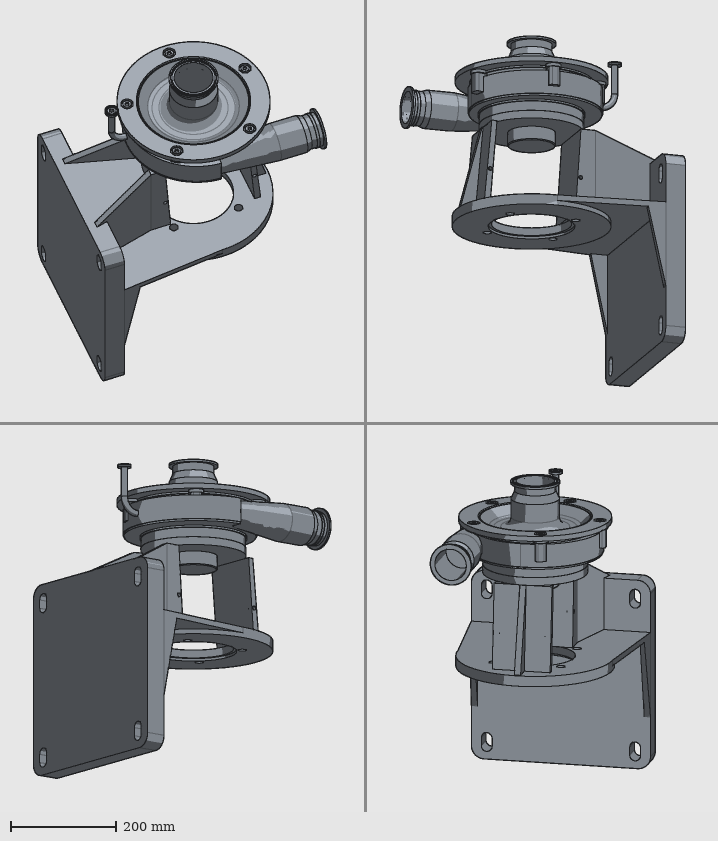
import cadquery as cq
import math


plate_width = 350.0
plate_height = 372.0
plate_thickness = 40.0
plate_front_y = -249.5
plate_back_y = plate_front_y + plate_thickness
plate_corner_radius = 25.0
slot_length = 37.0
slot_width = 21.0
slot_spacing_x = 290.0
slot_spacing_z = 301.0
slot_mid_z = 184.5

shelf_top_z = 270.5
shelf_thickness = 11.0
ring_thickness = 20.0
ring_radius = 151.0
shelf_bore_radius = 76.0
motor_recess_radius = 82.5
motor_recess_depth = 5.0
motor_bolt_count = 4
motor_bolt_start_angle = 45
motor_bolt_circle_radius = 93.5
motor_bolt_hole_radius = 8.0

gusset_reach = 34.0
gusset_bottom_z = 104.0
rib_thickness = 12.0

lantern_top_z = 435.5
lantern_half_width = 56.5
lantern_height = lantern_top_z - shelf_top_z
column_front_y = -109.0
column_inner_top_y = -80.0
column_inner_bottom_y = -69.0
rear_wall_inner_top_y = 89.0
rear_wall_inner_bottom_y = 102.5
rear_wall_outer_top_y = 99.5
rear_wall_outer_bottom_y = 115.0
rear_rib_top_y = 101.5
rear_rib_bottom_y = 145.5
pin_hole_radius = 3.5
pin_hole_depth = 12.0
pin_hole_z = 339.0
front_pin_y = -79.0
rear_pin_y = 102.5

front_rib_angle = 15.5
front_rib_x = 56.5
front_rib_y = -134.0
front_rib_end_y = -232.0

hub_radius = 99.5
hub_collar_radius = 102.0
hub_collar_bottom_z = 469.5
lantern_flange_radius = 100.0
lantern_flange_top_z = 451.0
shaft_boss_radius = 45.5
shaft_boss_bottom_z = 409.0
shaft_boss_chamfer = 2.0

casing_bottom_z = 473.0
casing_top_z = 523.0
casing_mid_z = (casing_bottom_z + casing_top_z) / 2
volute_start_radius = 121.0
volute_end_radius = 145.5
volute_start_angle = math.radians(90)
volute_sweep = math.radians(270)
spiral_steps = 12
casing_foot_inset = 2.0
casing_foot_top_z = 477.0

cover_radius = 145.5
cover_bottom_z = 535.0
cover_top_z = 545.0
cover_spigot_radius = 115.0
cover_lip_radius = 118.0
cover_lip_bottom_z = 531.5
dish_rim_radius = 107.0
dish_rim_chamfer = 2.0
dish_foot_radius = 83.5
dish_floor_z = 524.0
dish_foot_fillet = 12.0
neck_root_fillet = 19.5
inlet_radius = 46.0
inlet_throat_radius = 39.5
inlet_flange_radius = 47.0
inlet_flange_thickness = 4.0
inlet_shoulder_z = 580.0
inlet_throat_z = 595.5
inlet_top_z = 614.5
inlet_groove_radius = 41.0
inlet_bore_radius = 37.0
inlet_bore_bottom_z = 485.5

screw_count = 5
first_screw_angle = 180
screw_circle_radius = 126.5
lug_width = 21.0
lug_outer_radius = 138.0
lug_inner_radius = 104.5
lug_bottom_z = 493.0
lug_corner_radius = 5.0
lug_seat_radius = 15.0
lug_seat_bottom_z = 529.0
counterbore_radius = 11.5
screw_head_radius = 8.0
counterbore_depth = 6.0
socket_width = 8.0
socket_depth = 3.5

outlet_x = 115.0
outlet_end_y = 211.5
outlet_radius = 37.0
outlet_throat_radius = 33.0
outlet_flange_radius = 40.0
outlet_flange_thickness = 3.5
outlet_throat_y = 184.5
outlet_shoulder_y = 174.0
outlet_taper_y = 120.0
outlet_root_x = 119.0
outlet_root_radius = 24.5
outlet_bead_radius = 34.5
outlet_bead_start_y = 195.0
outlet_bead_end_y = 200.5
outlet_bore_radius = 31.0

drain_radius = 6.0
drain_bore_radius = 4.0
drain_bend_radius = 29.0
drain_z = 499.5
drain_inner_y = -129.0
drain_riser_y = -167.0
drain_top_z = 590.0
drain_flange_radius = 13.0
drain_flange_thickness = 5.0
drain_groove_radius = 8.5

groove_width = 2.5
groove_depth = 1.0


def disc(radius, bottom_z, top_z):
    return cq.Workplane("XY").workplane(offset=bottom_z).circle(radius).extrude(top_z - bottom_z)


def gasket_groove(radius, top_z):
    """Shallow ring sunk into a flange face at top_z, starting at the given inner radius."""
    floor_z = top_z - groove_depth
    return disc(radius + groove_width, floor_z, top_z).cut(disc(radius, floor_z, top_z))


def side_profile(points, half_width, mid_x=0.0):
    """Extrude a closed (y, z) outline evenly to both sides of the plane x = mid_x."""
    return cq.Workplane("YZ", origin=(mid_x, 0, 0)).polyline(points).close().extrude(half_width, both=True)


def wall_plate():
    plate = (
        cq.Workplane("XY")
        .box(plate_width, plate_thickness, plate_height, centered=(True, False, False))
        .translate((0, plate_front_y, 0))
        .edges("|Y")
        .fillet(plate_corner_radius)
    )
    slots = (
        cq.Workplane("XZ", origin=(0, plate_back_y, slot_mid_z))
        .rarray(slot_spacing_x, slot_spacing_z, 2, 2)
        .slot2D(slot_length, slot_width, 90)
        .extrude(plate_thickness)
    )
    return plate.cut(slots)


def shelf_outline():
    """Plan of the shelf: a half round end that widens toward the wall plate."""
    return (
        cq.Workplane("XY")
        .moveTo(ring_radius, 0)
        .threePointArc((0, ring_radius), (-ring_radius, 0))
        .lineTo(-plate_width / 2, plate_back_y)
        .lineTo(plate_width / 2, plate_back_y)
        .close()
    )


def shelf():
    ring_bottom_z = shelf_top_z - ring_thickness
    plate = shelf_outline().extrude(shelf_thickness).translate((0, 0, shelf_top_z - shelf_thickness))
    body = plate.union(disc(ring_radius, ring_bottom_z, shelf_top_z))
    body = body.cut(disc(shelf_bore_radius, ring_bottom_z, shelf_top_z))
    body = body.cut(disc(motor_recess_radius, ring_bottom_z, ring_bottom_z + motor_recess_depth))
    bolt_holes = (
        cq.Workplane("XY", origin=(0, 0, ring_bottom_z))
        .polarArray(motor_bolt_circle_radius, motor_bolt_start_angle, 360, motor_bolt_count)
        .circle(motor_bolt_hole_radius)
        .extrude(ring_thickness)
    )
    return body.cut(bolt_holes)


def lower_gussets():
    """Triangular webs under both edges of the shelf, trimmed to the shelf outline."""
    top_z = shelf_top_z - shelf_thickness
    points = [(plate_back_y, gusset_bottom_z), (plate_back_y, top_z), (plate_back_y + gusset_reach, top_z)]
    mid_x = (plate_width - rib_thickness) / 2
    web = side_profile(points, rib_thickness / 2, mid_x)
    gusset = web.intersect(shelf_outline().extrude(shelf_top_z))
    return gusset.union(gusset.mirror("YZ"))


def lantern():
    column = side_profile(
        [
            (column_front_y, shelf_top_z),
            (column_inner_bottom_y, shelf_top_z),
            (column_inner_top_y, lantern_top_z),
            (column_front_y, lantern_top_z),
        ],
        lantern_half_width,
    )
    column = column.intersect(disc(lantern_flange_radius, shelf_top_z, lantern_top_z))

    rear_wall = side_profile(
        [
            (rear_wall_inner_bottom_y, shelf_top_z),
            (rear_wall_outer_bottom_y, shelf_top_z),
            (rear_wall_outer_top_y, lantern_top_z),
            (rear_wall_inner_top_y, lantern_top_z),
        ],
        lantern_half_width,
    )
    rear_rib = side_profile(
        [
            (rear_wall_inner_bottom_y, shelf_top_z),
            (rear_rib_bottom_y, shelf_top_z),
            (rear_rib_top_y, lantern_top_z),
            (rear_wall_inner_top_y, lantern_top_z),
        ],
        rib_thickness / 2,
    )
    body = column.union(front_ribs()).union(rib_filler()).union(rear_wall).union(rear_rib)
    for pin_y in (front_pin_y, rear_pin_y):
        pin_hole = cq.Workplane("YZ", origin=(-lantern_half_width, pin_y, pin_hole_z))
        pin_hole = pin_hole.circle(pin_hole_radius).extrude(pin_hole_depth)
        body = body.cut(pin_hole).cut(pin_hole.mirror("YZ"))
    return body


def rib_x(y):
    """Distance from the mid plane to the middle of a front rib, at a given y."""
    return front_rib_x + (front_rib_y - y) * math.tan(math.radians(front_rib_angle))


def rib_filler():
    """Block between the front ribs, level with the top of the wall plate."""
    near_x = rib_x(column_inner_top_y)
    far_x = rib_x(plate_back_y)
    return (
        cq.Workplane("XY", origin=(0, 0, shelf_top_z))
        .moveTo(near_x, column_inner_top_y)
        .lineTo(far_x, plate_back_y)
        .lineTo(-far_x, plate_back_y)
        .lineTo(-near_x, column_inner_top_y)
        .close()
        .extrude(plate_height - shelf_top_z)
    )


def front_ribs():
    """Two ribs that spread from the lantern column and slope down onto the wall plate."""
    half_thickness_x = rib_thickness / 2 / math.cos(math.radians(front_rib_angle))
    side = side_profile(
        [
            (column_inner_top_y, shelf_top_z),
            (plate_back_y, shelf_top_z),
            (plate_back_y, plate_height),
            (front_rib_end_y, plate_height),
            (column_front_y, lantern_top_z),
            (column_inner_top_y, lantern_top_z),
        ],
        plate_width / 2,
    )
    plan = (
        cq.Workplane("XY", origin=(0, 0, shelf_top_z))
        .moveTo(rib_x(front_rib_end_y) - half_thickness_x, front_rib_end_y)
        .lineTo(rib_x(front_rib_end_y) + half_thickness_x, front_rib_end_y)
        .lineTo(lantern_half_width, column_front_y)
        .lineTo(lantern_half_width, column_inner_top_y)
        .lineTo(rib_x(column_inner_top_y) - half_thickness_x, column_inner_top_y)
        .close()
        .extrude(lantern_height)
    )
    rib = plan.intersect(side)
    return rib.union(rib.mirror("YZ"))


def hub():
    boss = disc(shaft_boss_radius, shaft_boss_bottom_z, casing_bottom_z)
    boss = boss.faces("<Z").edges().chamfer(shaft_boss_chamfer)
    lantern_flange = disc(lantern_flange_radius, lantern_top_z, lantern_flange_top_z)
    neck = disc(hub_radius, lantern_flange_top_z, hub_collar_bottom_z)
    collar = disc(hub_collar_radius, hub_collar_bottom_z, casing_bottom_z)
    return boss.union(lantern_flange).union(neck).union(collar)


def volute_layer(inset, bottom_z, top_z):
    """Slab whose radius grows evenly over three quarters of a turn, from +Y round to +X."""
    start_radius = volute_start_radius - inset
    end_radius = volute_end_radius - inset

    def spiral(t):
        angle = volute_start_angle + t * volute_sweep
        radius = start_radius + t * (end_radius - start_radius)
        return (radius * math.cos(angle), radius * math.sin(angle))

    diagonal = start_radius * math.sqrt(0.5)
    return (
        cq.Workplane("XY", origin=(0, 0, bottom_z))
        .spline([spiral(step / spiral_steps) for step in range(spiral_steps + 1)])
        .lineTo(start_radius, 0)
        .threePointArc((diagonal, diagonal), (0, start_radius))
        .close()
        .extrude(top_z - bottom_z)
    )


def volute():
    """Spiral casing on a slightly smaller foot."""
    foot = volute_layer(casing_foot_inset, casing_bottom_z, casing_foot_top_z)
    return foot.union(volute_layer(0, casing_foot_top_z, casing_top_z))


def outlet():
    taper = (
        cq.Workplane("XZ")
        .center(outlet_root_x, casing_mid_z)
        .circle(outlet_root_radius)
        .workplane(offset=-outlet_taper_y)
        .center(outlet_x - outlet_root_x, 0)
        .circle(outlet_radius)
        .loft()
    )
    pipe = (
        cq.Workplane("XY")
        .moveTo(0, outlet_taper_y)
        .lineTo(outlet_radius, outlet_taper_y)
        .lineTo(outlet_radius, outlet_shoulder_y)
        .lineTo(outlet_throat_radius, outlet_throat_y)
        .lineTo(outlet_throat_radius, outlet_bead_start_y)
        .lineTo(outlet_bead_radius, outlet_bead_start_y)
        .lineTo(outlet_bead_radius, outlet_bead_end_y)
        .lineTo(outlet_throat_radius, outlet_bead_end_y)
        .lineTo(outlet_throat_radius, outlet_end_y - outlet_flange_thickness)
        .lineTo(outlet_flange_radius, outlet_end_y - outlet_flange_thickness)
        .lineTo(outlet_flange_radius, outlet_end_y)
        .lineTo(0, outlet_end_y)
        .close()
        .revolve(360, (0, 0, 0), (0, 1, 0))
        .translate((outlet_x, 0, casing_mid_z))
    )
    return taper.union(pipe)


def outlet_bore():
    return (
        cq.Workplane("XZ", origin=(outlet_x, outlet_end_y, casing_mid_z))
        .circle(outlet_bore_radius)
        .extrude(outlet_end_y - outlet_taper_y)
    )


def cover():
    body = disc(cover_radius, cover_bottom_z, cover_top_z)
    body = body.union(disc(cover_lip_radius, cover_lip_bottom_z, cover_bottom_z))
    body = body.union(disc(cover_spigot_radius, casing_top_z, cover_lip_bottom_z))
    dish = (
        cq.Workplane("XZ")
        .moveTo(0, dish_floor_z)
        .lineTo(dish_foot_radius, dish_floor_z)
        .lineTo(dish_rim_radius, cover_top_z)
        .lineTo(0, cover_top_z)
        .close()
        .revolve(360, (0, 0, 0), (0, 1, 0))
        .faces("<Z")
        .edges()
        .fillet(dish_foot_fillet)
    )
    rim = cq.Solid.makeCone(
        dish_rim_radius,
        dish_rim_radius + dish_rim_chamfer,
        dish_rim_chamfer,
        cq.Vector(0, 0, cover_top_z - dish_rim_chamfer),
    )
    return body.cut(dish).cut(cq.Workplane(rim))


def inlet():
    root_z = dish_floor_z + neck_root_fillet
    root_radius = inlet_radius + neck_root_fillet
    arc_reach = neck_root_fillet * (1 - math.sqrt(0.5))
    return (
        cq.Workplane("XZ")
        .moveTo(0, dish_floor_z)
        .lineTo(root_radius, dish_floor_z)
        .threePointArc((inlet_radius + arc_reach, dish_floor_z + arc_reach), (inlet_radius, root_z))
        .lineTo(inlet_radius, inlet_shoulder_z)
        .lineTo(inlet_throat_radius, inlet_throat_z)
        .lineTo(inlet_throat_radius, inlet_top_z - inlet_flange_thickness)
        .lineTo(inlet_flange_radius, inlet_top_z - inlet_flange_thickness)
        .lineTo(inlet_flange_radius, inlet_top_z)
        .lineTo(0, inlet_top_z)
        .close()
        .revolve(360, (0, 0, 0), (0, 1, 0))
    )


def lug():
    """Screw lug on the +X side, standing out from the casing, with a round seat at its top."""
    length = lug_outer_radius - lug_inner_radius
    seat = disc(lug_seat_radius, lug_seat_bottom_z, cover_bottom_z).translate((screw_circle_radius, 0, 0))
    block = (
        cq.Workplane("XY")
        .box(length, lug_width, cover_bottom_z - lug_bottom_z, centered=(False, True, False))
        .translate((lug_inner_radius, 0, lug_bottom_z))
        .edges("|Z and >X")
        .fillet(lug_corner_radius)
    )
    return block.union(seat)


def screw_recess():
    """Gap round a sunk socket screw, and its hexagon socket, on the +X side."""
    gap = cq.Workplane("XY", origin=(screw_circle_radius, 0, cover_top_z - counterbore_depth))
    gap = gap.circle(counterbore_radius).circle(screw_head_radius).extrude(counterbore_depth)
    socket = cq.Workplane("XY", origin=(screw_circle_radius, 0, cover_top_z - socket_depth))
    return gap.union(socket.polygon(6, socket_width).extrude(socket_depth))


def drain():
    bend_mid = drain_bend_radius * math.sqrt(0.5)
    bend_start_y = drain_riser_y + drain_bend_radius
    bend_end_z = drain_z + drain_bend_radius
    path = (
        cq.Workplane("YZ")
        .moveTo(drain_inner_y, drain_z)
        .lineTo(bend_start_y, drain_z)
        .threePointArc((bend_start_y - bend_mid, bend_end_z - bend_mid), (drain_riser_y, bend_end_z))
        .lineTo(drain_riser_y, drain_top_z)
    )
    pipe = cq.Workplane("XZ", origin=(0, drain_inner_y, drain_z)).circle(drain_radius).sweep(path)
    flange = disc(drain_flange_radius, drain_top_z - drain_flange_thickness, drain_top_z)
    flange = flange.cut(gasket_groove(drain_groove_radius, drain_top_z))
    bore = disc(drain_bore_radius, bend_end_z, drain_top_z).translate((0, drain_riser_y, 0))
    return pipe.union(flange.translate((0, drain_riser_y, 0))).cut(bore)


bracket = wall_plate().union(shelf()).union(lower_gussets()).union(lantern())
pump = hub().union(volute()).union(outlet()).union(cover()).union(inlet()).union(drain())

for index in range(screw_count):
    angle = first_screw_angle + index * 360 / screw_count
    pump = pump.union(lug().rotate((0, 0, 0), (0, 0, 1), angle))
    pump = pump.cut(screw_recess().rotate((0, 0, 0), (0, 0, 1), angle))

pump = pump.cut(gasket_groove(inlet_groove_radius, inlet_top_z))
pump = pump.cut(outlet_bore()).cut(disc(inlet_bore_radius, inlet_bore_bottom_z, inlet_top_z))

result = bracket.union(pump)